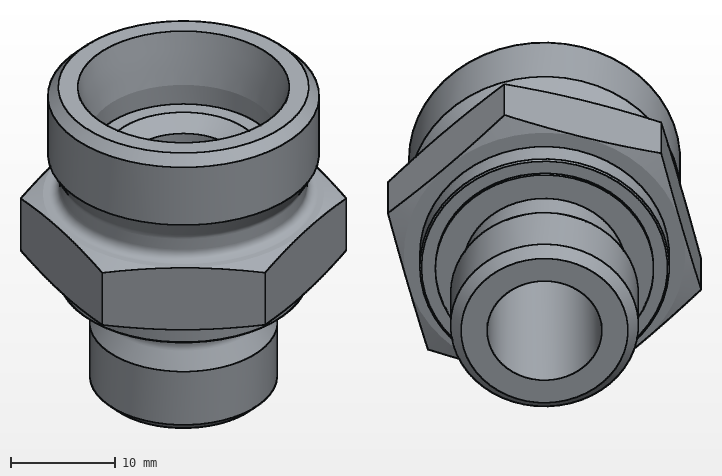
import cadquery as cq
import math

TOTAL_HEIGHT = 33.5
HEX_BOTTOM = 14.5
HEX_TOP = 21.5
COLLAR_BOTTOM = 12.0

HEX_ACROSS_FLATS = 27.0
HEX_TURN = 30.0
HEX_CHAMFER_ANGLE = 15.0
HEX_FACE_RADIUS = 13.47

END_CHAMFER = 1.0
THREAD_RUNOUT_ANGLE = 30.0
NECK_BLEND_RADIUS = 1.0
STUD_RADIUS = 18.0 / 2
STUD_NECK_RADIUS = 15.7 / 2
STUD_THREAD_LENGTH = 7.0
PORT_RADIUS = 26.0 / 2
PORT_NECK_RADIUS = 23.7 / 2
PORT_THREAD_LENGTH = 7.5
COLLAR_RADIUS = 23.9 / 2
COLLAR_CHAMFER = 0.17

BORE_RADIUS = 11.0 / 2
TUBE_SEAT_RADIUS = 18.0 / 2
TUBE_SEAT_DEPTH = 7.5
MOUTH_RADIUS = 20.27 / 2
MOUTH_HALF_ANGLE = 12.0
COUNTERSINK_RADIUS = 14.97 / 2
COUNTERSINK_SLOPE = 30.0

SEAL_RADIUS = 20.9 / 2
SEAL_PROJECTION = 0.35
SEAL_THICKNESS = 1.35


def tan_deg(angle):
    return math.tan(math.radians(angle))


def revolve_profile(profile):
    """Revolve a closed (radius, height) profile about the Z axis."""
    return profile.close().revolve(360, (0, 0, 0), (0, 1, 0))


def neck_blend(neck_radius):
    """Return the radius, height and mid-arc offsets of a blend from a neck into a thread runout cone."""
    half = math.radians(THREAD_RUNOUT_ANGLE / 2)
    full = math.radians(THREAD_RUNOUT_ANGLE)
    end_radius = neck_radius + NECK_BLEND_RADIUS * (1 - math.cos(full))
    end_rise = NECK_BLEND_RADIUS * math.sin(full)
    mid_radius = neck_radius + NECK_BLEND_RADIUS * (1 - math.cos(half))
    mid_rise = NECK_BLEND_RADIUS * math.sin(half)
    return end_radius, end_rise, mid_radius, mid_rise


def make_stud():
    """Lower threaded end with its neck, running up through the collar to the hexagon."""
    end_radius, end_rise, mid_radius, mid_rise = neck_blend(STUD_NECK_RADIUS)
    cone_top = STUD_THREAD_LENGTH + (STUD_RADIUS - end_radius) / tan_deg(THREAD_RUNOUT_ANGLE)
    neck_start = cone_top + end_rise
    profile = (
        cq.Workplane("XZ")
        .moveTo(0, 0)
        .lineTo(STUD_RADIUS - END_CHAMFER, 0)
        .lineTo(STUD_RADIUS, END_CHAMFER)
        .lineTo(STUD_RADIUS, STUD_THREAD_LENGTH)
        .lineTo(end_radius, cone_top)
        .threePointArc((mid_radius, neck_start - mid_rise), (STUD_NECK_RADIUS, neck_start))
        .lineTo(STUD_NECK_RADIUS, HEX_BOTTOM)
        .lineTo(0, HEX_BOTTOM)
    )
    return revolve_profile(profile)


def make_port():
    """Upper threaded end with its neck and the fillet onto the hexagon."""
    end_radius, end_rise, mid_radius, mid_rise = neck_blend(PORT_NECK_RADIUS)
    thread_bottom = TOTAL_HEIGHT - PORT_THREAD_LENGTH
    cone_bottom = thread_bottom - (PORT_RADIUS - end_radius) / tan_deg(THREAD_RUNOUT_ANGLE)
    neck_end = cone_bottom - end_rise
    fillet_mid = NECK_BLEND_RADIUS * (1 - math.sqrt(0.5))
    profile = (
        cq.Workplane("XZ")
        .moveTo(0, HEX_TOP)
        .lineTo(PORT_NECK_RADIUS + NECK_BLEND_RADIUS, HEX_TOP)
        .threePointArc(
            (PORT_NECK_RADIUS + fillet_mid, HEX_TOP + fillet_mid),
            (PORT_NECK_RADIUS, HEX_TOP + NECK_BLEND_RADIUS),
        )
        .lineTo(PORT_NECK_RADIUS, neck_end)
        .threePointArc((mid_radius, neck_end + mid_rise), (end_radius, cone_bottom))
        .lineTo(PORT_RADIUS, thread_bottom)
        .lineTo(PORT_RADIUS, TOTAL_HEIGHT - END_CHAMFER)
        .lineTo(PORT_RADIUS - END_CHAMFER, TOTAL_HEIGHT)
        .lineTo(0, TOTAL_HEIGHT)
    )
    return revolve_profile(profile)


def make_hexagon():
    """Wrench hexagon with corners on the Y axis, chamfered on both faces."""
    corner_radius = HEX_ACROSS_FLATS / math.sqrt(3)
    prism = (
        cq.Workplane("XY", origin=(0, 0, HEX_BOTTOM))
        .polygon(6, 2 * corner_radius)
        .extrude(HEX_TOP - HEX_BOTTOM)
        .rotate((0, 0, 0), (0, 0, 1), HEX_TURN)
    )
    corner_drop = (corner_radius - HEX_FACE_RADIUS) * tan_deg(HEX_CHAMFER_ANGLE)
    envelope = (
        cq.Workplane("XZ")
        .moveTo(0, HEX_BOTTOM)
        .lineTo(HEX_FACE_RADIUS, HEX_BOTTOM)
        .lineTo(corner_radius, HEX_BOTTOM + corner_drop)
        .lineTo(corner_radius, HEX_TOP - corner_drop)
        .lineTo(HEX_FACE_RADIUS, HEX_TOP)
        .lineTo(0, HEX_TOP)
    )
    return prism.intersect(revolve_profile(envelope))


def make_collar():
    """Round collar under the hexagon with a small chamfer on its sealing face."""
    collar = cq.Workplane("XY", origin=(0, 0, COLLAR_BOTTOM)).circle(COLLAR_RADIUS)
    return collar.extrude(HEX_BOTTOM - COLLAR_BOTTOM).faces("<Z").chamfer(COLLAR_CHAMFER)


def make_bore():
    """Cutter for the through bore, countersink, tube seat and tapered mouth."""
    seat_floor = TOTAL_HEIGHT - TUBE_SEAT_DEPTH
    taper_bottom = TOTAL_HEIGHT - (MOUTH_RADIUS - TUBE_SEAT_RADIUS) / tan_deg(MOUTH_HALF_ANGLE)
    countersink_depth = (COUNTERSINK_RADIUS - BORE_RADIUS) * tan_deg(COUNTERSINK_SLOPE)
    profile = (
        cq.Workplane("XZ")
        .moveTo(0, 0)
        .lineTo(BORE_RADIUS, 0)
        .lineTo(BORE_RADIUS, seat_floor - countersink_depth)
        .lineTo(COUNTERSINK_RADIUS, seat_floor)
        .lineTo(TUBE_SEAT_RADIUS, seat_floor)
        .lineTo(TUBE_SEAT_RADIUS, taper_bottom)
        .lineTo(MOUTH_RADIUS, TOTAL_HEIGHT)
        .lineTo(0, TOTAL_HEIGHT)
    )
    return revolve_profile(profile)


def make_seal():
    """Flat ring around the stud neck, projecting below the collar."""
    ring = cq.Workplane("XY", origin=(0, 0, COLLAR_BOTTOM - SEAL_PROJECTION))
    return ring.circle(SEAL_RADIUS).circle(STUD_NECK_RADIUS).extrude(SEAL_THICKNESS)


seal = make_seal()
fitting = make_stud().union(make_collar()).union(make_hexagon()).union(make_port())
fitting = fitting.cut(make_bore()).cut(seal)

result = cq.Compound.makeCompound([fitting.val(), seal.val()])